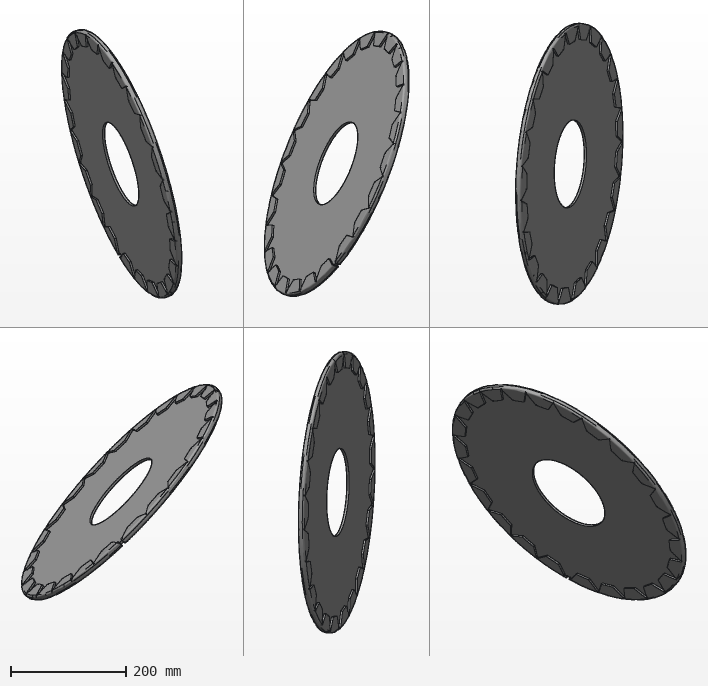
import cadquery as cq
import math

OUTER_RADIUS = 244.5
TOTAL_THICKNESS = 11.2
HOLE_DIAMETER = 153.0

STRIP_THICKNESS = 3.5
STRIP_GAP = 7.0

TAB_COUNT = 25
TAB_PITCH = 14.3
TAB_ROOT_WIDTH = 58.0
TAB_TIP_WIDTH = 26.5
TAB_TIP_RADIUS = 216.0

PLATE_THICKNESS = TOTAL_THICKNESS - 2 * STRIP_THICKNESS
PLATE_RADIUS = OUTER_RADIUS - STRIP_THICKNESS
TAB_ROOT_RADIUS = math.sqrt(PLATE_RADIUS**2 - (TAB_ROOT_WIDTH / 2) ** 2)


def make_disc(radius, thickness):
    """Solid disc about the Y axis, centred on Y = 0."""
    return cq.Workplane("XZ").circle(radius).extrude(thickness / 2, both=True)


def make_plate():
    """Flat round plate with a central through hole."""
    return make_disc(PLATE_RADIUS, PLATE_THICKNESS).cut(make_disc(HOLE_DIAMETER / 2, PLATE_THICKNESS))


def make_band():
    """Rim band around the plate edge, with both outer corners rounded by the fold."""
    half_plate = PLATE_THICKNESS / 2
    half_total = TOTAL_THICKNESS / 2
    bend = STRIP_THICKNESS * math.sqrt(0.5)
    return (
        cq.Workplane("YZ")
        .moveTo(-half_plate, PLATE_RADIUS)
        .lineTo(-half_total, PLATE_RADIUS)
        .threePointArc((-half_plate - bend, PLATE_RADIUS + bend), (-half_plate, OUTER_RADIUS))
        .lineTo(half_plate, OUTER_RADIUS)
        .threePointArc((half_plate + bend, PLATE_RADIUS + bend), (half_total, PLATE_RADIUS))
        .lineTo(half_plate, PLATE_RADIUS)
        .close()
        .revolve(360, (0, 0), (1, 0))
    )


def make_tab_pair(angle):
    """One tab on each face of the plate, turned about the Y axis by angle."""
    half_root = TAB_ROOT_WIDTH / 2
    half_tip = TAB_TIP_WIDTH / 2
    pair = (
        cq.Workplane("XZ")
        .moveTo(-half_tip, TAB_TIP_RADIUS)
        .lineTo(half_tip, TAB_TIP_RADIUS)
        .lineTo(half_root, TAB_ROOT_RADIUS)
        .threePointArc((0, PLATE_RADIUS), (-half_root, TAB_ROOT_RADIUS))
        .close()
        .extrude(TOTAL_THICKNESS / 2, both=True)
        .cut(make_disc(OUTER_RADIUS, PLATE_THICKNESS))
    )
    return pair.rotate((0, 0, 0), (0, 1, 0), angle)


def make_edging():
    """Split rim band with its folded tabs, as one solid."""
    gap = cq.Workplane("XY").box(STRIP_GAP, TOTAL_THICKNESS, OUTER_RADIUS).translate((0, 0, -OUTER_RADIUS))
    edging = make_band().cut(gap)
    for index in range(TAB_COUNT):
        steps_from_top = index - (TAB_COUNT - 1) // 2
        edging = edging.union(make_tab_pair(steps_from_top * TAB_PITCH))
    return edging


plate = make_plate()
edging = make_edging()
result = cq.Compound.makeCompound([plate.val(), edging.solids().val()])